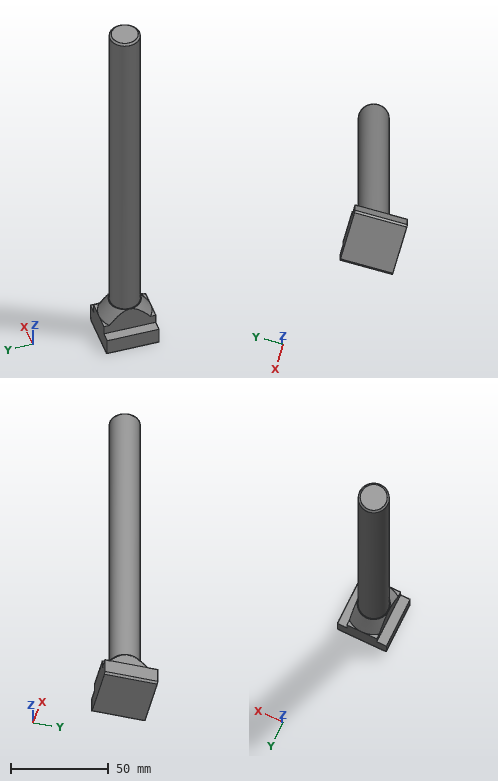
import cadquery as cq

total_height = 210.0
head_width = 28.0
head_height = 10.0
head_chamfer = 1.0

shank_diameter = 16.0
shank_chamfer = 1.0

neck_width = 17.0
neck_block_top = 15.1
cone_top = 23.5
cone_base_diameter = head_width
cone_top_diameter = neck_width


def make_head():
    """Square head with its two bottom edges along Y chamfered."""
    head = cq.Workplane("XY").box(head_width, head_width, head_height, centered=(True, True, False))
    return head.faces("<Z").edges("|Y").chamfer(head_chamfer)


def make_neck():
    """Slot guide block topped by a cone that is cut flat to the guide width."""
    block = cq.Workplane("XY").box(neck_width, head_width, neck_block_top, centered=(True, True, False))
    cone = (
        cq.Workplane("XY", origin=(0, 0, neck_block_top))
        .circle(cone_base_diameter / 2)
        .workplane(offset=cone_top - neck_block_top)
        .circle(cone_top_diameter / 2)
        .loft()
    )
    guide_slab = cq.Workplane("XY").box(neck_width, head_width, cone_top, centered=(True, True, False))
    return block.union(cone.intersect(guide_slab))


def make_shank():
    """Round shank with a chamfered top end."""
    shank = cq.Workplane("XY").circle(shank_diameter / 2).extrude(total_height)
    return shank.faces(">Z").chamfer(shank_chamfer)


result = make_head().union(make_neck()).union(make_shank())